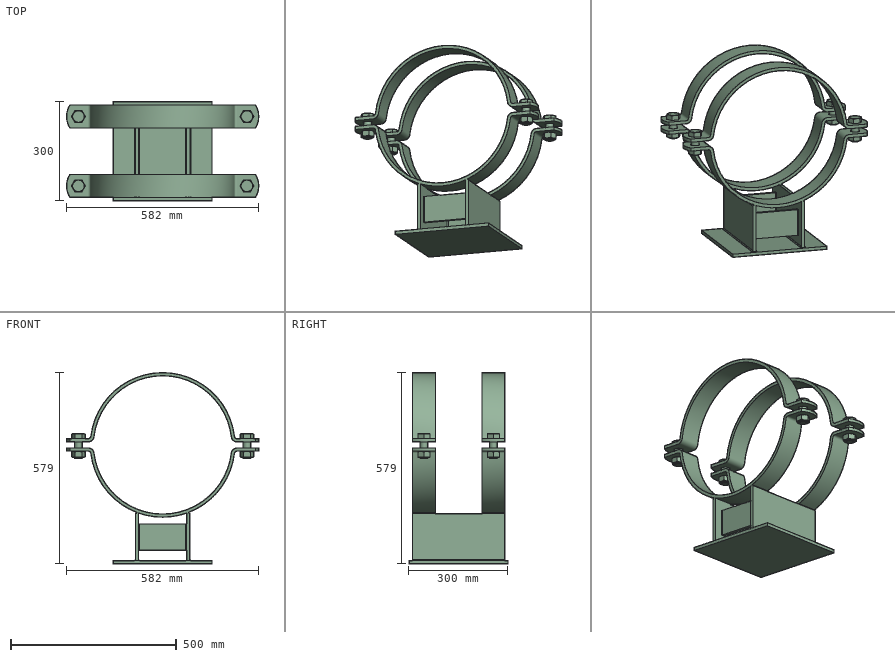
import cadquery as cq
import math

BASE_SIDE = 300
PLATE_THICKNESS = 10

STRAP_WIDTH = 70
STRAP_THICKNESS = 10
CLAMP_INNER_RADIUS = 209
CLAMP_OUTER_RADIUS = CLAMP_INNER_RADIUS + STRAP_THICKNESS
CLAMP_CENTER_Z = 360
CLAMP_Y = 105
HALF_GAP = 9
BEND_INNER_RADIUS = 8
BEND_OUTER_RADIUS = BEND_INNER_RADIUS + STRAP_THICKNESS
EAR_REACH = 291
EAR_END_RADIUS = 65

BOLT_X = 255
BOLT_DIAMETER = 24
BOLT_LENGTH = 60
BOLT_TIP_DIAMETER = 22.38
BOLT_TIP_CHAMFER = (BOLT_DIAMETER - BOLT_TIP_DIAMETER) / 2
HEX_ACROSS_FLATS = 36
HEX_ACROSS_CORNERS = HEX_ACROSS_FLATS / math.cos(math.pi / 6)
HEAD_HEIGHT = 15
HEAD_FACE_DIAMETER = 35
NUT_HEIGHT = 19
NUT_FACE_DIAMETER = 33.2
HEX_CHAMFER_ANGLE = 30
HOLE_DIAMETER = 27

SIDE_INNER_X = 72.5
SIDE_OUTER_X = SIDE_INNER_X + PLATE_THICKNESS
SIDE_LENGTH = 2 * CLAMP_Y + STRAP_WIDTH
SIDE_TOP_Z = 152
CROSS_HEIGHT = 80
CROSS_CENTER_Z = (PLATE_THICKNESS + SIDE_TOP_Z) / 2
WELD_LEG = 3


def extruded_along_y(outline, center_y, length):
    """Extrude an XZ outline symmetrically about the given Y position."""
    return outline.extrude(length / 2, both=True).translate((0, center_y, 0))


def upper_strap():
    """Upper half clamp about the origin: half ring, bends and flat ears."""
    ear_top = HALF_GAP + STRAP_THICKNESS
    bend_z = ear_top + BEND_INNER_RADIUS
    bend_path_radius = CLAMP_OUTER_RADIUS + BEND_INNER_RADIUS
    bend_x = math.sqrt(bend_path_radius**2 - bend_z**2)
    tangent_angle = math.asin(bend_z / bend_path_radius)
    middle_angle = (tangent_angle + math.pi / 2) / 2

    def bend_point(radius, side):
        x = bend_x - radius * math.cos(middle_angle)
        z = bend_z - radius * math.sin(middle_angle)
        return (side * x, z)

    def ring_end(radius, side):
        return (side * radius * math.cos(tangent_angle), radius * math.sin(tangent_angle))

    inner_bend_left = bend_point(BEND_INNER_RADIUS, -1)
    inner_bend_right = bend_point(BEND_INNER_RADIUS, 1)
    outer_bend_left = bend_point(BEND_OUTER_RADIUS, -1)
    outer_bend_right = bend_point(BEND_OUTER_RADIUS, 1)
    outline = (
        cq.Workplane("XZ")
        .moveTo(-EAR_REACH, HALF_GAP)
        .lineTo(-EAR_REACH, ear_top)
        .lineTo(-bend_x, ear_top)
        .threePointArc(inner_bend_left, ring_end(CLAMP_OUTER_RADIUS, -1))
        .threePointArc((0, CLAMP_OUTER_RADIUS), ring_end(CLAMP_OUTER_RADIUS, 1))
        .threePointArc(inner_bend_right, (bend_x, ear_top))
        .lineTo(EAR_REACH, ear_top)
        .lineTo(EAR_REACH, HALF_GAP)
        .lineTo(bend_x, HALF_GAP)
        .threePointArc(outer_bend_right, ring_end(CLAMP_INNER_RADIUS, 1))
        .threePointArc((0, CLAMP_INNER_RADIUS), ring_end(CLAMP_INNER_RADIUS, -1))
        .threePointArc(outer_bend_left, (-bend_x, HALF_GAP))
        .close()
    )
    strap = extruded_along_y(outline, 0, STRAP_WIDTH)

    half_width = STRAP_WIDTH / 2
    corner_x = EAR_REACH - EAR_END_RADIUS + math.sqrt(EAR_END_RADIUS**2 - half_width**2)
    plan = (
        cq.Workplane("XY")
        .moveTo(-corner_x, -half_width)
        .lineTo(corner_x, -half_width)
        .threePointArc((EAR_REACH, 0), (corner_x, half_width))
        .lineTo(-corner_x, half_width)
        .threePointArc((-EAR_REACH, 0), (-corner_x, -half_width))
        .close()
        .extrude(CLAMP_OUTER_RADIUS)
    )
    bolt_holes = (
        cq.Workplane("XY")
        .pushPoints([(-BOLT_X, 0), (BOLT_X, 0)])
        .circle(HOLE_DIAMETER / 2)
        .extrude(ear_top)
    )
    return strap.intersect(plan).cut(bolt_holes)


def chamfered_hexagon(bottom_z, height, face_diameter, bottom_chamfered):
    """Hexagon along Z with its corners turned down at the top and, if asked, at the bottom."""
    corner_radius = HEX_ACROSS_CORNERS / 2
    face_radius = face_diameter / 2
    drop = (corner_radius - face_radius) * math.tan(math.radians(HEX_CHAMFER_ANGLE))
    if bottom_chamfered:
        bottom_edge = [(face_radius, bottom_z), (corner_radius, bottom_z + drop)]
    else:
        bottom_edge = [(corner_radius, bottom_z)]
    top_z = bottom_z + height
    hexagon = (
        cq.Workplane("XY", origin=(0, 0, bottom_z))
        .polygon(6, HEX_ACROSS_CORNERS)
        .extrude(height)
    )
    envelope = (
        cq.Workplane("XZ")
        .polyline([
            (0, bottom_z),
            *bottom_edge,
            (corner_radius, top_z - drop),
            (face_radius, top_z),
            (0, top_z),
        ])
        .close()
        .revolve(360, (0, 0), (0, 1))
    )
    return hexagon.intersect(envelope)


def bolt():
    """Bolt and nut about the mid-plane of the gap, axis along Z."""
    ear_top = HALF_GAP + STRAP_THICKNESS
    head = chamfered_hexagon(ear_top, HEAD_HEIGHT, HEAD_FACE_DIAMETER, bottom_chamfered=False)
    nut = chamfered_hexagon(-ear_top - NUT_HEIGHT, NUT_HEIGHT, NUT_FACE_DIAMETER, bottom_chamfered=True)
    shank = (
        cq.Workplane("XY", origin=(0, 0, ear_top - BOLT_LENGTH))
        .circle(BOLT_DIAMETER / 2)
        .extrude(BOLT_LENGTH)
        .faces("<Z")
        .chamfer(BOLT_TIP_CHAMFER)
    )
    return shank.union(head).union(nut)


def clamp():
    """Complete clamp about the origin: both strap halves and two bolts."""
    upper = upper_strap()
    body = upper.union(upper.mirror("XY"))
    for bolt_x in (-BOLT_X, BOLT_X):
        body = body.union(bolt().translate((bolt_x, 0, 0)))
    return body


def base_plate():
    return cq.Workplane("XY").box(BASE_SIDE, BASE_SIDE, PLATE_THICKNESS, centered=(True, True, False))


def side_plate():
    """Side plate on the +X side, with a weld to the base along both faces."""
    center_x = (SIDE_INNER_X + SIDE_OUTER_X) / 2
    foot = cq.Workplane("XY", origin=(center_x, 0, PLATE_THICKNESS))
    plate = foot.rect(PLATE_THICKNESS, SIDE_LENGTH).extrude(SIDE_TOP_Z - PLATE_THICKNESS)
    weld = (
        foot.rect(PLATE_THICKNESS + 2 * WELD_LEG, SIDE_LENGTH)
        .workplane(offset=WELD_LEG)
        .rect(PLATE_THICKNESS, SIDE_LENGTH)
        .loft(ruled=True)
    )
    return plate.union(weld)


def saddle_weld(center_y):
    """Weld bead filling the gap between a +X side plate and the strap above it."""
    chord_height = math.sqrt(CLAMP_OUTER_RADIUS**2 - SIDE_OUTER_X**2)
    bead_top = CLAMP_CENTER_Z - chord_height
    outline = (
        cq.Workplane("XZ")
        .moveTo(SIDE_INNER_X, SIDE_TOP_Z)
        .lineTo(SIDE_OUTER_X, SIDE_TOP_Z)
        .lineTo(SIDE_OUTER_X - (bead_top - SIDE_TOP_Z), bead_top)
        .lineTo(SIDE_INNER_X, bead_top)
        .close()
    )
    ring_bore = extruded_along_y(
        cq.Workplane("XZ", origin=(0, 0, CLAMP_CENTER_Z)).circle(CLAMP_INNER_RADIUS), center_y, STRAP_WIDTH
    )
    return extruded_along_y(outline, center_y, STRAP_WIDTH).cut(ring_bore)


def cross_plate(center_y):
    """Cross plate between the side plates, with upright welds at its four corners."""
    half_thickness = PLATE_THICKNESS / 2
    outline = (
        cq.Workplane("XY", origin=(0, center_y, CROSS_CENTER_Z))
        .moveTo(0, half_thickness)
        .lineTo(SIDE_INNER_X - WELD_LEG, half_thickness)
        .lineTo(SIDE_INNER_X, half_thickness + WELD_LEG)
        .lineTo(SIDE_INNER_X, -half_thickness - WELD_LEG)
        .lineTo(SIDE_INNER_X - WELD_LEG, -half_thickness)
        .lineTo(0, -half_thickness)
        .close()
    )
    half = outline.extrude(CROSS_HEIGHT / 2, both=True)
    return half.union(half.mirror("YZ"))


result = base_plate()
right_side = side_plate().union(saddle_weld(-CLAMP_Y)).union(saddle_weld(CLAMP_Y))
result = result.union(right_side).union(right_side.mirror("YZ"))
for clamp_y in (-CLAMP_Y, CLAMP_Y):
    result = result.union(cross_plate(clamp_y))
    result = result.union(clamp().translate((0, clamp_y, CLAMP_CENTER_Z)))